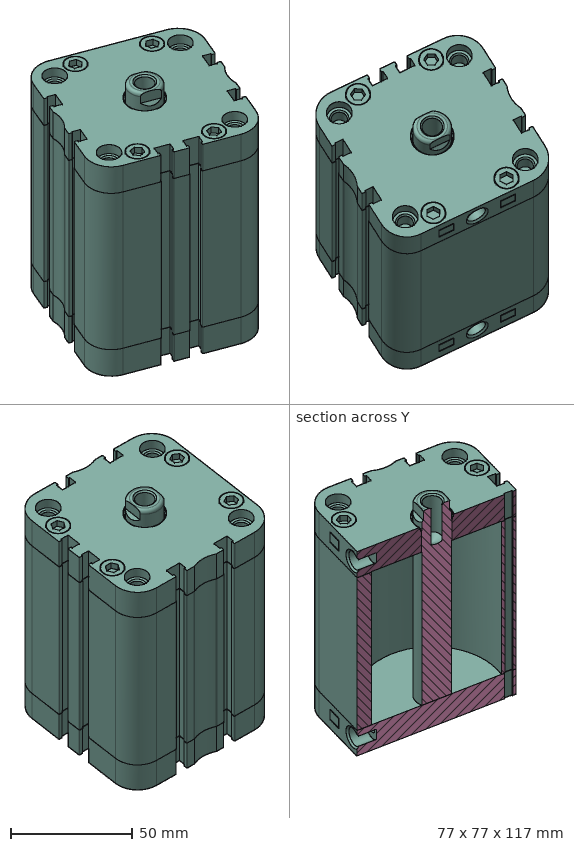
import cadquery as cq
import math

SIDE = 77.0
HEIGHT = 117.0
BODY_TOP = 108.8
CAP_HEIGHT = 13.8
CORNER_RADIUS = 12.0
HALF = SIDE / 2

SLOT_MOUTH = 5.4
SLOT_WIDTH = 6.8
SLOT_DEPTH = 5.4
SLOT_LIP = 1.8
SLOT_EDGE_RADIUS = 0.2
CAP_SLOT_CLEARANCE = 0.18
SLOT_OFFSET_Y_SIDES = 12.9
SLOT_OFFSET_X_SIDE = 6.4

HOLLOW_HALF_WIDTH = 6.0
HOLLOW_DEPTH = 1.3
BARREL_HOLLOW_EDGE_RADIUS = 1.2

BORE_DIAMETER = 63.0
ROD_DIAMETER = 16.0
ROD_TIP_RADIUS = 1.8
ROD_FLATS = 13.0
FLAT_LENGTH = 5.1
ROD_THREAD_DIAMETER = 8.4
ROD_THREAD_MOUTH = 9.8
ROD_THREAD_DEPTH = 19.9
DRILL_POINT_ANGLE = 120.0

ROD_RECESS_MOUTH = 18.0
ROD_RECESS_DIAMETER = 17.7
ROD_RECESS_DEPTH = 1.2
ROD_CLEARANCE_DIAMETER = 16.5
ROD_CLEARANCE_DEPTH = 2.3

MOUNT_OFFSET = 28.2
MOUNT_COUNTERBORE = 10.5
MOUNT_COUNTERBORE_DEPTH = 4.7
MOUNT_MOUTH = 8.0
MOUNT_HOLE = 6.7
MOUNT_HOLE_DEPTH = 11.7

SCREW_X = 32.2
SCREW_Y = 17.2
SCREW_HEAD = 9.8
SCREW_SEAT = 10.3
SCREW_GROOVE_DEPTH = 1.2
SOCKET_FLATS = 5.3
SOCKET_DEPTH = 3.0

PORT_DIAMETER = 8.5
PORT_MOUTH = 10.3
PORT_DEPTH = 9.4
LOWER_PORT_Z = 7.6
UPPER_PORT_Z = 101.4
FEED_DIAMETER = 4.0
FEED_RISE = 0.9
FEED_DEPTH = 4.7

LABEL_WIDTH = 6.9
LABEL_HEIGHT = 5.3
LABEL_OFFSET = 14.5
LABEL_DEPTH = 0.2
LABEL_RISE = 0.2


def slot_cutter(height, clearance):
    """T-slot cutter opening towards -Y, with its rounded mouth edges on the plane y = 0."""
    half_mouth = SLOT_MOUTH / 2 + clearance
    half_width = SLOT_WIDTH / 2 + clearance
    depth = SLOT_DEPTH + clearance
    flare = half_mouth + SLOT_EDGE_RADIUS
    mid_x = flare - SLOT_EDGE_RADIUS * math.sin(math.pi / 4)
    mid_y = SLOT_EDGE_RADIUS * (1 - math.cos(math.pi / 4))
    return (
        cq.Workplane("XY")
        .moveTo(-flare, 0)
        .threePointArc((-mid_x, mid_y), (-half_mouth, SLOT_EDGE_RADIUS))
        .lineTo(-half_mouth, SLOT_LIP)
        .lineTo(-half_width, SLOT_LIP)
        .lineTo(-half_width, depth)
        .lineTo(half_width, depth)
        .lineTo(half_width, SLOT_LIP)
        .lineTo(half_mouth, SLOT_LIP)
        .lineTo(half_mouth, SLOT_EDGE_RADIUS)
        .threePointArc((mid_x, mid_y), (flare, 0))
        .close()
        .extrude(height)
    )


def hollow_cutter(height):
    """Round groove cutter for the middle of the -Y side."""
    radius = (HOLLOW_HALF_WIDTH**2 + HOLLOW_DEPTH**2) / (2 * HOLLOW_DEPTH)
    return cq.Workplane("XY").center(0, -HALF + HOLLOW_DEPTH - radius).circle(radius).extrude(height)


def hollow_edges(block):
    """The four long edges where the hollows meet the -Y and +Y sides."""
    half_box = 2 * HOLLOW_HALF_WIDTH
    return block.edges("|Z").edges(
        cq.selectors.BoxSelector((-half_box, -SIDE, -HEIGHT), (half_box, SIDE, HEIGHT))
    )


def section(bottom, height, slot_clearance, hollow_edge_radius):
    """Rounded square block with the side slots and hollows."""
    axis = ((0, 0, 0), (0, 0, 1))
    block = cq.Workplane("XY").rect(SIDE, SIDE).extrude(height).edges("|Z").fillet(CORNER_RADIUS)
    for turn in (0, 180):
        block = block.cut(hollow_cutter(height).rotate(*axis, turn))
    if hollow_edge_radius > 0:
        block = hollow_edges(block).fillet(hollow_edge_radius)
    slot = slot_cutter(height, slot_clearance)
    for turn in (0, 180):
        for x in (-SLOT_OFFSET_Y_SIDES, SLOT_OFFSET_Y_SIDES):
            block = block.cut(slot.translate((x, -HALF, 0)).rotate(*axis, turn))
    for y in (-SLOT_OFFSET_X_SIDE, SLOT_OFFSET_X_SIDE):
        block = block.cut(slot.translate((y, -HALF, 0)).rotate(*axis, 90))
    return block.translate((0, 0, bottom))


def cap_section(bottom):
    """Plain end cap block: slots with clearance, sharp-edged hollows."""
    return section(bottom, CAP_HEIGHT, CAP_SLOT_CLEARANCE, 0)


def stepped_cutter(profile):
    """Cutter revolved about Z from (radius, z) points that start and end on the axis."""
    return cq.Workplane("XZ").polyline(profile).close().revolve(360, (0, 0, 0), (0, 1, 0))


def port(z):
    """Port cutter with a chamfered mouth, running in +X from the -X side."""
    chamfer = (PORT_MOUTH - PORT_DIAMETER) / 2
    cutter = stepped_cutter(
        [
            (0, 0),
            (PORT_MOUTH / 2, 0),
            (PORT_DIAMETER / 2, chamfer),
            (PORT_DIAMETER / 2, PORT_DEPTH),
            (0, PORT_DEPTH),
        ]
    )
    return cutter.rotate((0, 0, 0), (0, 1, 0), 90).translate((-HALF, 0, z))


def labels(z):
    """Cutter for the two label panels beside a port."""
    return (
        cq.Workplane("YZ", origin=(-HALF, 0, z))
        .pushPoints([(-LABEL_OFFSET, 0), (LABEL_OFFSET, 0)])
        .rect(LABEL_WIDTH, LABEL_HEIGHT)
        .extrude(LABEL_DEPTH)
    )


def mounting_hole():
    """Counterbored, chamfered mounting hole cutter going down from z = 0."""
    chamfer = (MOUNT_MOUTH - MOUNT_HOLE) / 2
    return stepped_cutter(
        [
            (0, 0),
            (MOUNT_COUNTERBORE / 2, 0),
            (MOUNT_COUNTERBORE / 2, -MOUNT_COUNTERBORE_DEPTH),
            (MOUNT_MOUTH / 2, -MOUNT_COUNTERBORE_DEPTH),
            (MOUNT_HOLE / 2, -MOUNT_COUNTERBORE_DEPTH - chamfer),
            (MOUNT_HOLE / 2, -MOUNT_HOLE_DEPTH),
            (0, -MOUNT_HOLE_DEPTH),
        ]
    )


def screw_head(turn):
    """Cutter for the ring groove and hexagon socket of one screw head, down from z = 0."""
    groove = (
        cq.Workplane("XY").circle(SCREW_SEAT / 2).circle(SCREW_HEAD / 2).extrude(-SCREW_GROOVE_DEPTH)
    )
    across_corners = SOCKET_FLATS / math.cos(math.pi / 6)
    socket = cq.Workplane("XY").polygon(6, across_corners).extrude(-SOCKET_DEPTH)
    return groove.union(socket).rotate((0, 0, 0), (0, 0, 1), turn)


def rod_recess():
    """Chamfered, stepped recess cutter around the rod, going down from z = 0."""
    chamfer = (ROD_RECESS_MOUTH - ROD_RECESS_DIAMETER) / 2
    return stepped_cutter(
        [
            (0, 0),
            (ROD_RECESS_MOUTH / 2, 0),
            (ROD_RECESS_DIAMETER / 2, -chamfer),
            (ROD_RECESS_DIAMETER / 2, -ROD_RECESS_DEPTH),
            (ROD_CLEARANCE_DIAMETER / 2, -ROD_RECESS_DEPTH),
            (ROD_CLEARANCE_DIAMETER / 2, -ROD_CLEARANCE_DEPTH),
            (0, -ROD_CLEARANCE_DEPTH),
        ]
    )


def make_lower_cap():
    feed = cq.Workplane("YZ", origin=(-HALF, 0, LOWER_PORT_Z + FEED_RISE)).circle(FEED_DIAMETER / 2)
    return (
        cap_section(0)
        .cut(port(LOWER_PORT_Z))
        .cut(feed.extrude(PORT_DEPTH + FEED_DEPTH))
        .cut(labels(LOWER_PORT_Z - LABEL_RISE))
    )


def make_barrel():
    height = BODY_TOP - 2 * CAP_HEIGHT
    bore = cq.Workplane("XY", origin=(0, 0, CAP_HEIGHT)).circle(BORE_DIAMETER / 2).extrude(height)
    return section(CAP_HEIGHT, height, 0, BARREL_HOLLOW_EDGE_RADIUS).cut(bore)


def make_upper_cap():
    cap = cap_section(BODY_TOP - CAP_HEIGHT)
    top = cq.Workplane("XY", origin=(0, 0, BODY_TOP))
    cap = cap.cut(top.circle(ROD_DIAMETER / 2).extrude(-CAP_HEIGHT))
    cap = cap.cut(rod_recess().translate((0, 0, BODY_TOP)))
    for side_x in (-1, 1):
        for side_y in (-1, 1):
            mount_place = (side_x * MOUNT_OFFSET, side_y * MOUNT_OFFSET, BODY_TOP)
            screw_place = (side_x * SCREW_X, side_y * SCREW_Y, BODY_TOP)
            cap = cap.cut(mounting_hole().translate(mount_place))
            cap = cap.cut(screw_head(0 if side_x > 0 else 90).translate(screw_place))
    return cap.cut(port(UPPER_PORT_Z)).cut(labels(UPPER_PORT_Z + LABEL_RISE))


def make_rod():
    radius = ROD_DIAMETER / 2
    rod = (
        cq.Workplane("XY", origin=(0, 0, CAP_HEIGHT))
        .circle(radius)
        .extrude(HEIGHT - CAP_HEIGHT)
        .faces(">Z")
        .edges()
        .fillet(ROD_TIP_RADIUS)
    )
    half_flats = ROD_FLATS / 2
    flat_end = HEIGHT - FLAT_LENGTH
    runout = radius - half_flats
    flat = (
        cq.Workplane("XZ")
        .polyline(
            [
                (half_flats, HEIGHT),
                (half_flats, flat_end),
                (radius, flat_end - runout),
                (radius, HEIGHT),
            ]
        )
        .close()
        .extrude(radius, both=True)
    )
    rod = rod.cut(flat).cut(flat.mirror("YZ"))
    hole = ROD_THREAD_DIAMETER / 2
    mouth = ROD_THREAD_MOUTH / 2
    point = hole / math.tan(math.radians(DRILL_POINT_ANGLE / 2))
    thread = stepped_cutter(
        [
            (0, 0),
            (mouth, 0),
            (hole, hole - mouth),
            (hole, -ROD_THREAD_DEPTH),
            (0, -ROD_THREAD_DEPTH - point),
        ]
    )
    return rod.cut(thread.translate((0, 0, HEIGHT)))


lower_cap = make_lower_cap()
barrel = make_barrel()
upper_cap = make_upper_cap()
rod = make_rod()

result = cq.Compound.makeCompound([lower_cap.val(), barrel.val(), upper_cap.val(), rod.val()])